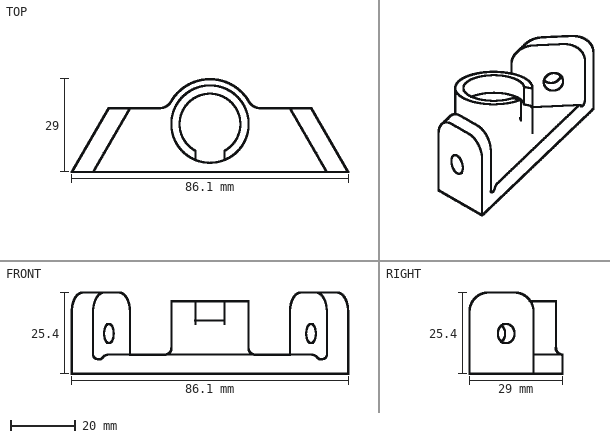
import cadquery as cq
import math

length = 86.1
depth = 20.0
base_thickness = 6.0
end_angle = math.radians(30)

height = 25.4
ear_thickness = 5.8
ear_corner_radius = 6.0
hole_diameter = 6.0
hole_height = 12.6

groove_radius = 1.5
groove_lip_radius = 2.0

cup_y = 15.0
pad_radius = 14.0
cup_radius = 12.05
cup_top = 22.6
cup_floor = 16.6
bore_radius = 9.5
slot_width = 9.0
slot_lip_radius = 1.0
neck_radius = 4.0

half_length = length / 2
back_half_length = half_length - depth * math.tan(end_angle)


def trapezoid_block(block_height):
    outline = [
        (-half_length, 0),
        (half_length, 0),
        (back_half_length, depth),
        (-back_half_length, depth),
    ]
    return cq.Workplane("XY").polyline(outline).close().extrude(block_height)


def end_plane():
    """Plane square to the left end: local x points inward, local y up, normal to the front."""
    inward = (math.cos(end_angle), -math.sin(end_angle), 0)
    frontward = (-math.sin(end_angle), -math.cos(end_angle), 0)
    return cq.Plane(origin=(-half_length, 0, 0), xDir=inward, normal=frontward)


def inner_clearance():
    """Left half of the space between the ears, with the groove at the foot of the left ear."""
    groove_center = ear_thickness + groove_radius
    center_distance = groove_radius + groove_lip_radius
    lip_offset = math.sqrt(center_distance**2 - groove_lip_radius**2)
    lip_center = groove_center + lip_offset
    lip_center_height = base_thickness - groove_lip_radius
    share = groove_radius / center_distance
    tangent_point = (groove_center + lip_offset * share, base_thickness - groove_lip_radius * share)
    lip_angle = (math.pi / 2 + math.atan2(groove_lip_radius, -lip_offset)) / 2
    lip_middle = (
        lip_center + groove_lip_radius * math.cos(lip_angle),
        lip_center_height + groove_lip_radius * math.sin(lip_angle),
    )
    reach = 2 * length
    space = (
        cq.Workplane(end_plane())
        .moveTo(ear_thickness, 2 * height)
        .lineTo(ear_thickness, base_thickness)
        .threePointArc((groove_center, base_thickness - groove_radius), tangent_point)
        .threePointArc(lip_middle, (lip_center, base_thickness))
        .lineTo(reach, base_thickness)
        .lineTo(reach, 2 * height)
        .close()
        .extrude(length, both=True)
    )
    left_half = cq.Workplane("XY").box(length, 4 * length, 4 * height).translate((-half_length, 0, 0))
    return space.intersect(left_half)


def mirrored(shape):
    return shape.mirror("YZ")


def bracket():
    """Base plate with its two round-cornered, drilled ears."""
    ear_profile = (
        cq.Workplane("YZ")
        .rect(depth, height, centered=False)
        .extrude(half_length, both=True)
        .edges("|X and >Z")
        .fillet(ear_corner_radius)
    )
    block = trapezoid_block(height).intersect(ear_profile)
    clearance = inner_clearance()
    block = block.cut(clearance).cut(mirrored(clearance))

    outer_face_y = (depth + ear_thickness * math.sin(end_angle)) / 2
    ear_middle = outer_face_y / math.cos(end_angle)
    hole_start = end_plane().toWorldCoords((0, hole_height, -ear_middle))
    hole = cq.Workplane(
        obj=cq.Solid.makeCylinder(hole_diameter / 2, ear_thickness, hole_start, end_plane().xDir)
    )
    return block.cut(hole).cut(mirrored(hole))


def add_pad(body):
    pad = cq.Workplane("XY").center(0, cup_y).circle(pad_radius).extrude(base_thickness)
    body = body.union(pad)
    neck_x = math.sqrt(pad_radius**2 - (depth - cup_y) ** 2)
    for side in (-1, 1):
        corner = cq.selectors.NearestToPointSelector((side * neck_x, depth, base_thickness / 2))
        body = body.edges("|Z").edges(corner).fillet(neck_radius)
    return body


def cup():
    """Solid of revolution flared into the pad, bored from the top and slotted at the front."""
    flare = pad_radius - cup_radius
    flare_middle = flare * (1 - math.sqrt(0.5))
    body = (
        cq.Workplane("XZ")
        .lineTo(pad_radius, 0)
        .lineTo(pad_radius, base_thickness)
        .threePointArc(
            (cup_radius + flare_middle, base_thickness + flare_middle),
            (cup_radius, base_thickness + flare),
        )
        .lineTo(cup_radius, cup_top)
        .lineTo(0, cup_top)
        .close()
        .revolve(360, (0, 0), (0, 1))
    )
    bore = (
        cq.Workplane("XY", origin=(0, 0, cup_floor))
        .circle(bore_radius)
        .extrude(cup_top - cup_floor)
    )
    slot_bottom = cup_floor - slot_lip_radius
    slot = (
        cq.Workplane("XY", origin=(0, -cup_radius, slot_bottom))
        .rect(slot_width, 2 * cup_radius)
        .extrude(cup_top - slot_bottom)
    )
    rounded_floor = (
        cq.Workplane("XY")
        .circle(cup_radius)
        .extrude(cup_floor)
        .faces(">Z")
        .edges()
        .fillet(slot_lip_radius)
    )
    return body.cut(bore).cut(slot.cut(rounded_floor)).translate((0, cup_y, 0))


result = add_pad(bracket()).union(cup())